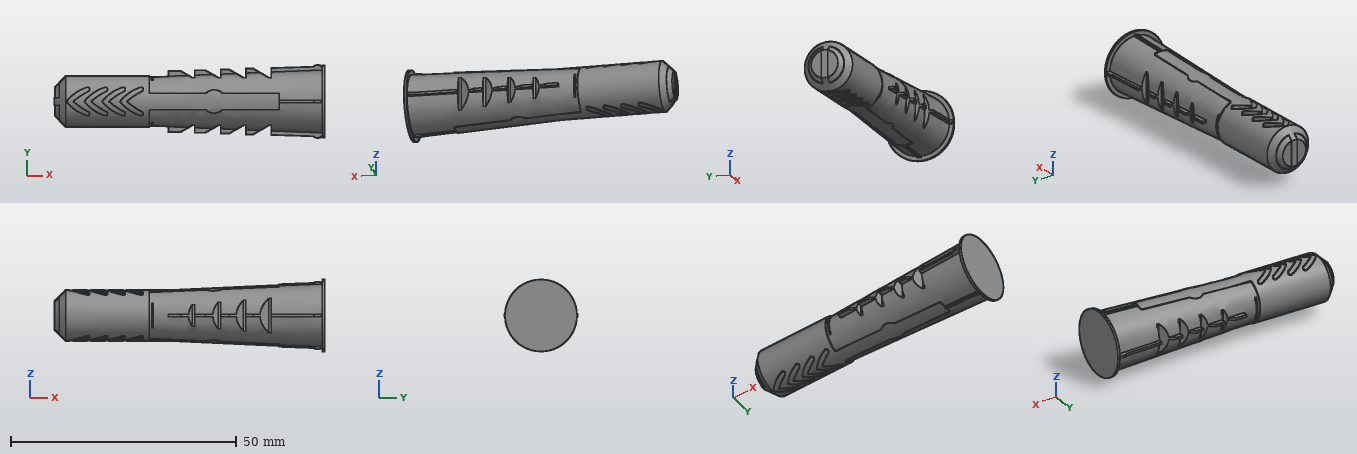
import cadquery as cq
import math


length = 60.0
shank_r = 5.7
flange_r = 16.0 / 2
flange_start = 59.45

nose_length = 2.6
tip_r = 3.2
nose_ring_x = 1.15
nose_rib_width = 1.55
nose_relief = 0.1

jaw_start = 21.05
jaw_start_r = 10.85 / 2
jaw_end_r = 14.0 / 2

tongue_taper_start = 26.45
tongue_end = 49.9
tongue_end_r = 6.8
tongue_width = 3.7
tongue_corner_r = 0.3
tongue_root_x = jaw_start - 0.6
tongue_eye_x = 35.45
tongue_eye_r = 2.6

groove_start = 21.6
groove_width = 0.35
groove_floor_y = 4.75

fin_thickness = 0.55
tooth_starts = [25.3, 31.15, 36.9, 42.5]
tooth_tops = [6.8, 6.95, 7.15, 7.3]
last_land_start = 48.1
notch_walls = tooth_starts[1:] + [last_land_start]
last_land_y = 7.45
last_land_end_y = 7.8
notch_floor_y = 10.6 / 2
notch_floor_length = 0.55
notch_angle = 30.0
short_fin_start_r = 6.95
short_fin_end_r = 7.3
bump_x = 58.4
bump_half_length = 0.85
bump_y = 16.25 / 2
short_bump_r = 7.5

arrow_count = 4
arrow_pitch = 3.95
arrow_depth = 0.2
arrow_tip_x = 2.7
arrow_inner_x = 4.2
arrow_end_x = 7.4
arrow_end_y = 2.7
arrow_end_r = 0.5
arrow_outer_mid = (4.5, 1.75)
arrow_inner_mid = (5.75, 1.2)

reach = 2 * flange_r


def revolved(points):
    """Solid of revolution about X from (x, radius) points."""
    return cq.Workplane("XY").polyline(points).close().revolve(360, (0, 0, 0), (1, 0, 0))


def both_sides(solid, plane):
    """The solid together with its mirror image in the given plane."""
    return solid.union(solid.mirror(plane))


def body():
    """Round shank with conical nose, tapered jaws and end flange."""
    return revolved([
        (0, 0),
        (0, tip_r),
        (nose_length, shank_r),
        (jaw_start, shank_r),
        (jaw_start, jaw_start_r),
        (flange_start, jaw_end_r),
        (flange_start, flange_r),
        (length, flange_r),
        (length, 0),
    ])


def nose_reliefs():
    """Shallow recesses on both sides of the nose, leaving a rib across the middle."""
    lowered_nose = revolved([
        (nose_relief, 0),
        (nose_relief, tip_r),
        (nose_relief + nose_length, shank_r),
        (nose_relief + nose_length, 0),
    ])
    side_block = (
        cq.Workplane("XY")
        .box(nose_ring_x, reach, reach, centered=(False, False, True))
        .translate((0, nose_rib_width / 2, 0))
    )
    return both_sides(side_block, "XZ").cut(lowered_nose)


def tongues():
    """Strips flush with the shank at their root that rise along the jaws, widened by a round eye."""
    core = revolved([
        (tongue_root_x, 0),
        (tongue_root_x, shank_r),
        (tongue_taper_start, shank_r),
        (tongue_end, tongue_end_r),
        (tongue_end, 0),
    ])
    strip = (
        cq.Workplane("XY")
        .box(tongue_end - tongue_root_x, tongue_width, reach, centered=(False, True, True))
        .translate((tongue_root_x, 0, 0))
        .edges("|Z and >X")
        .fillet(tongue_corner_r)
    )
    root_width = tongue_width + 2 * tongue_corner_r
    root = (
        cq.Workplane("XY")
        .box(jaw_start + tongue_corner_r - tongue_root_x, root_width, reach, centered=(False, True, True))
        .translate((tongue_root_x, 0, 0))
    )
    corner_rounds = (
        cq.Workplane("XY")
        .pushPoints([(jaw_start + tongue_corner_r, side * root_width / 2) for side in (-1, 1)])
        .circle(tongue_corner_r)
        .extrude(reach / 2, both=True)
    )
    eye = cq.Workplane("XY").center(tongue_eye_x, 0).circle(tongue_eye_r).extrude(reach / 2, both=True)
    return core.intersect(root.cut(corner_rounds).union(strip).union(eye))


def with_bump(outline, start_height, end_height, start_x, bump_height):
    """Carry a fin outline along its sloping top, over the round bump, into the flange."""
    slope = (end_height - start_height) / (flange_start - start_x)
    bump_start = bump_x - bump_half_length
    bump_end = bump_x + bump_half_length
    return (
        outline
        .lineTo(bump_start, start_height + slope * (bump_start - start_x))
        .threePointArc((bump_x, bump_height), (bump_end, start_height + slope * (bump_end - start_x)))
        .lineTo(flange_start, end_height)
        .lineTo(flange_start, 0)
        .close()
    )


def toothed_fins():
    """Thin saw-toothed plates standing on the jaws in the XY plane."""
    outline = cq.Workplane("XY").moveTo(tooth_starts[0], 0)
    for start, top, wall in zip(tooth_starts, tooth_tops, notch_walls):
        floor_start = wall - notch_floor_length
        run = (top - notch_floor_y) / math.tan(math.radians(notch_angle))
        outline = (
            outline
            .lineTo(start, top)
            .lineTo(floor_start - run, top)
            .lineTo(floor_start, notch_floor_y)
            .lineTo(wall, notch_floor_y)
        )
    outline = outline.lineTo(last_land_start, last_land_y)
    outline = with_bump(outline, last_land_y, last_land_end_y, last_land_start, bump_y)
    return both_sides(outline.extrude(fin_thickness / 2, both=True), "XZ")


def short_fins():
    """Thin plates behind the tongues in the XZ plane."""
    outline = cq.Workplane("XZ").moveTo(tongue_end, 0).lineTo(tongue_end, short_fin_start_r)
    outline = with_bump(outline, short_fin_start_r, short_fin_end_r, tongue_end, short_bump_r)
    return both_sides(outline.extrude(fin_thickness / 2, both=True), "XY")


def notches():
    """Wedges cut across the jaws in front of each tooth wall."""
    run = (flange_r - notch_floor_y) / math.tan(math.radians(notch_angle))
    cuts = cq.Workplane("XY")
    for wall in notch_walls:
        wedge = (
            cq.Workplane("XY")
            .moveTo(wall, notch_floor_y)
            .lineTo(wall, flange_r)
            .lineTo(wall - notch_floor_length - run, flange_r)
            .lineTo(wall - notch_floor_length, notch_floor_y)
            .close()
            .extrude(reach / 2, both=True)
        )
        cuts = cuts.union(both_sides(wedge, "XZ"))
    return cuts


def chord_grooves():
    """Narrow straight grooves across the jaws just behind the shoulder."""
    groove = (
        cq.Workplane("XY")
        .box(groove_width, reach, reach, centered=(False, False, True))
        .translate((groove_start, groove_floor_y, 0))
    )
    return both_sides(groove, "XZ")


def arrow_grooves():
    """Row of shallow arrows with round-ended, curved arms."""
    shell = cq.Workplane("YZ").circle(flange_r).circle(shank_r - arrow_depth).extrude(jaw_start)
    cap_angle = math.radians(60)
    outer_end = (arrow_end_x, arrow_end_y + arrow_end_r)
    cap_mid = (arrow_end_x + arrow_end_r, arrow_end_y)
    inner_end = (
        arrow_end_x + arrow_end_r * math.cos(cap_angle),
        arrow_end_y - arrow_end_r * math.sin(cap_angle),
    )
    arm = (
        cq.Workplane("XY")
        .moveTo(arrow_tip_x, 0)
        .threePointArc(arrow_outer_mid, outer_end)
        .threePointArc(cap_mid, inner_end)
        .threePointArc(arrow_inner_mid, (arrow_inner_x, 0))
        .close()
        .extrude(reach / 2, both=True)
    )
    arrow = both_sides(arm, "XZ")
    grooves = cq.Workplane("XY")
    for index in range(arrow_count):
        grooves = grooves.union(arrow.translate((index * arrow_pitch, 0, 0)))
    return grooves.intersect(shell)


result = (
    body()
    .cut(nose_reliefs())
    .cut(notches())
    .cut(chord_grooves())
    .union(tongues())
    .union(toothed_fins())
    .union(short_fins())
    .cut(arrow_grooves())
)